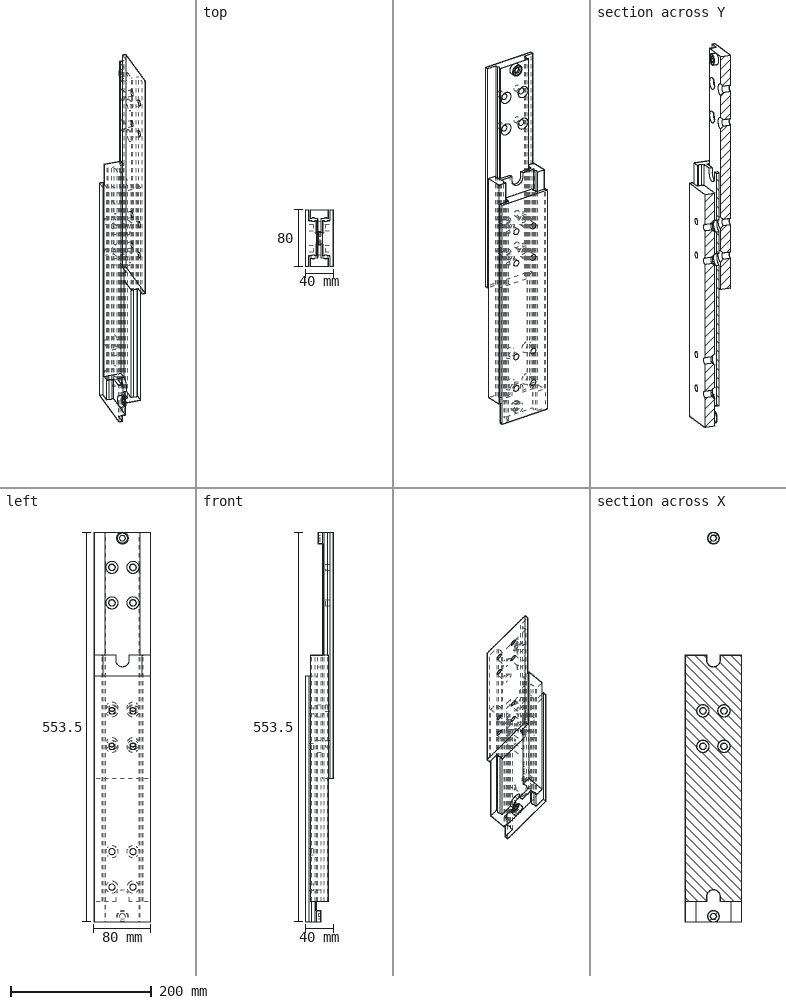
import cadquery as cq
import math

total_height = 553.5
depth = 40.0
width = 80.0
member_length = 350.0
carriage_bottom = 29.5

rail_depth = 15.5
plate_thickness = 5.0
block_width = 50.0
pin_diameter = 16.5
pin_length = 6.5
pin_recess_diameter = 14.5
pin_recess_depth = 0.5
socket_flats = 8.0
socket_depth = 3.5

groove_width = 5.0
groove_depth = 1.0
groove_offset = 11.0

hole_diameter = 9.0
countersink_diameter = 17.0
countersink_angle = 90
hole_spacing = 30.0
hole_end_distances = (50.0, 100.0)

carriage_depth = 25.5
web_thickness = 5.0
channel_width = 56.0
slot_width = 19.0
slot_centre_depth = 7.0

hole_heights = [*hole_end_distances, *(member_length - d for d in hole_end_distances)]
hole_points = [(side * hole_spacing / 2, z) for z in hole_heights for side in (-1, 1)]
plate_face = -depth / 2
block_face = plate_face + rail_depth
groove_x = plate_face + groove_offset


def box(x_min, x_max, y_size, z_min, z_max):
    """Box centred on Y = 0."""
    size = (x_max - x_min, y_size, z_max - z_min)
    return cq.Workplane().box(*size, centered=(False, True, False)).translate((x_min, 0, z_min))


def cut_grooves(body, x, wall_y, material_side):
    """Cut the ball grooves along Z in the walls at +wall_y and -wall_y.

    material_side is +1 when the material lies beyond wall_y and -1 when it lies inside it.
    """
    radius = (groove_width ** 2 / 4 + groove_depth ** 2) / (2 * groove_depth)
    centre_y = wall_y - material_side * (radius - groove_depth)
    centres = [(x, centre_y), (x, -centre_y)]
    return body.cut(cq.Workplane().pushPoints(centres).circle(radius).extrude(member_length))


def make_pin():
    """Stop pin along X on the block face, flush with the bottom end, with a recessed hexagon socket."""
    socket_corners = socket_flats / math.cos(math.pi / 6)
    base = cq.Workplane("YZ", origin=(block_face, 0, pin_diameter / 2))
    pin = base.circle(pin_diameter / 2).extrude(pin_length)
    tip = base.workplane(offset=pin_length)
    recess = tip.circle(pin_recess_diameter / 2).extrude(-pin_recess_depth)
    socket = tip.polygon(6, socket_corners).extrude(-socket_depth)
    return pin.cut(recess).cut(socket)


def make_rail():
    """Lower rail: mounting plate with a grooved block, countersunk holes and a stop pin."""
    plate = box(plate_face, plate_face + plate_thickness, width, 0, member_length)
    block = box(plate_face, block_face, block_width, 0, member_length)
    rail = plate.union(cut_grooves(block, groove_x, block_width / 2, -1))
    rail = (
        rail.faces(">X").workplane(origin=(0, 0, 0)).pushPoints(hole_points)
        .cskHole(hole_diameter, countersink_diameter, countersink_angle)
    )
    return rail.union(make_pin())


def make_carriage():
    """H-section carriage: two flanges joined by a web, with stop slots and screw access holes in the web."""
    half_depth = carriage_depth / 2
    half_web = web_thickness / 2
    carriage = box(-half_depth, half_depth, width, 0, member_length)
    carriage = carriage.cut(box(-half_depth, -half_web, channel_width, 0, member_length))
    carriage = carriage.cut(box(half_web, half_depth, channel_width, 0, member_length))
    for x in (groove_x, -groove_x):
        carriage = cut_grooves(carriage, x, channel_width / 2, 1)

    web_plane = cq.Workplane("YZ", origin=(-half_web, 0, 0))
    for end in (0, member_length):
        slot_length = 2 * slot_centre_depth + slot_width
        slot = web_plane.center(0, end).slot2D(slot_length, slot_width, 90).extrude(web_thickness)
        carriage = carriage.cut(slot)

    access_points = [(y, z - carriage_bottom) for y, z in hole_points if z > member_length / 2]
    access = web_plane.pushPoints(access_points).circle(countersink_diameter / 2).extrude(web_thickness)
    return carriage.cut(access).translate((0, 0, carriage_bottom))


lower_rail = make_rail()
upper_rail = lower_rail.rotate((0, 0, 0), (0, 1, 0), 180).translate((0, 0, total_height))
carriage = make_carriage()

result = cq.Compound.makeCompound([lower_rail.val(), carriage.val(), upper_rail.val()])